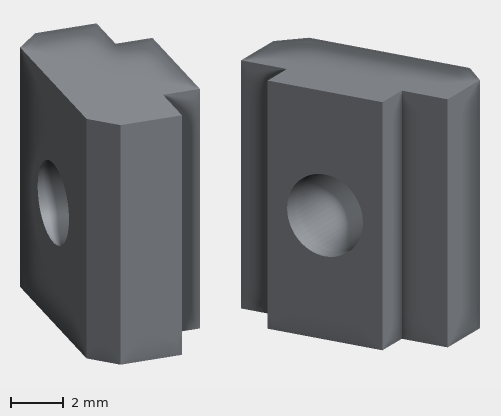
import cadquery as cq

width = 9.0
depth = 5.0
height = 10.0

tongue_width = 5.0
tongue_depth = 1.5
chamfer = 1.0
hole_diameter = 3.3

body_depth = depth - tongue_depth


def make_body():
    """Wide block with its two front vertical edges chamfered."""
    block = cq.Workplane("XY").box(width, body_depth, height, centered=(True, False, True))
    return block.faces("<Y").edges("|Z").chamfer(chamfer)


def make_tongue():
    """Narrow block on the back of the body, running its full height."""
    block = cq.Workplane("XY").box(tongue_width, tongue_depth, height, centered=(True, False, True))
    return block.translate((0, body_depth, 0))


def make_hole():
    """Central through hole along Y."""
    return cq.Workplane("XZ").circle(hole_diameter / 2).extrude(-depth)


result = make_body().union(make_tongue()).cut(make_hole())